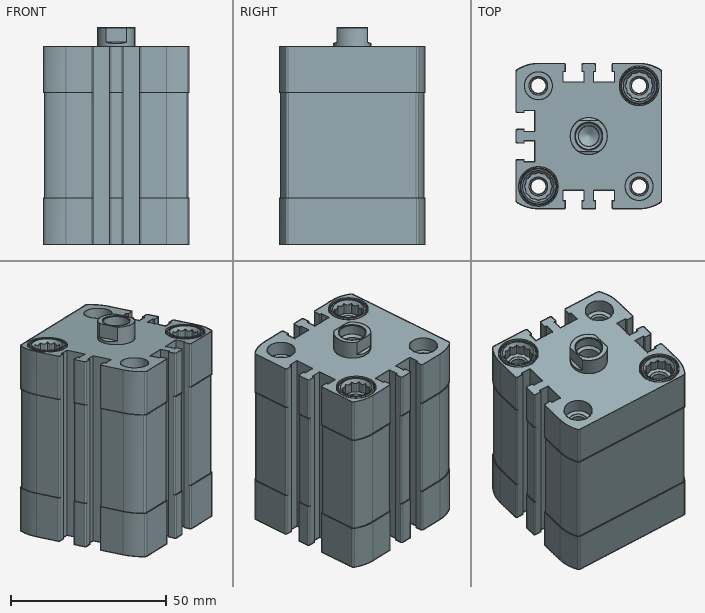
import cadquery as cq
import math


overall_height = 70
rod_projection = 6.0
housing_height = overall_height - rod_projection
housing_width = 47.0
cap_height = 15.0
barrel_inset = 0.3
corner_arc_radius = 13.0
side_flat_half = 16.2
corner_blend_radius = 1.0

rail_half_width = 2.25
slot_mouth_outer = 7.55
slot_undercut = 0.7
slot_lip_depth = 2.65
slot_depth = 6.0
lip_radius = 0.5
slot_side_angles = (0, 180, 270)
selector_margin = 0.1

fixing_pitch = 32.5
fixing_bore = 4.9
fixing_countersink = 6.0
countersink_depth = (fixing_countersink - fixing_bore) / 2
fixing_counterbore = 9.0
fixing_floor_depth = 4.7

screw_groove_outer = 12.8
screw_groove_inner = 12.0
screw_groove_depth = 0.85
screw_rim_chamfer = 0.35
screw_funnel = 10.2
screw_funnel_depth = 1.4
socket_diameter = 8.5
socket_point_radius = 4.55
socket_points = 12
socket_land_width = 0.8

rod_diameter = 12.0
rod_depth = 21
flat_half_spacing = 5.0
flat_length = 4.7
flat_shoulder_angle = 25
rod_countersink = 9.0
rod_counterbore = 8.55
rod_counterbore_depth = 3.5
rod_tap_bore = 6.65
rod_tap_start_depth = 4.2
rod_tap_depth = 14
drill_tip_angle = 118


def revolved(profile):
    """Solid of revolution about Z from (radius, z) points."""
    return cq.Workplane("XZ").polyline(profile).close().revolve(360, (0, 0, 0), (0, 1, 0))


def outline(half_width):
    """Square outline whose corners are shallow arcs tangent to the +Y and -Y sides."""
    run = half_width - side_flat_half

    def drop(distance):
        """Fall of the corner arc at a distance past the end of the flat."""
        return corner_arc_radius - math.sqrt(corner_arc_radius**2 - distance**2)

    corner_y = half_width - drop(run)
    middle_x = side_flat_half + run / 2
    middle_y = half_width - drop(run / 2)
    return (
        cq.Workplane("XY")
        .moveTo(-side_flat_half, half_width)
        .lineTo(side_flat_half, half_width)
        .threePointArc((middle_x, middle_y), (half_width, corner_y))
        .lineTo(half_width, -corner_y)
        .threePointArc((middle_x, -middle_y), (side_flat_half, -half_width))
        .lineTo(-side_flat_half, -half_width)
        .threePointArc((-middle_x, -middle_y), (-half_width, -corner_y))
        .lineTo(-half_width, corner_y)
        .threePointArc((-middle_x, middle_y), (-side_flat_half, half_width))
        .close()
    )


def slot_pair(height):
    """Cutter for the two T-slots of the -Y side."""
    mouth_y = -housing_width / 2
    lip_y = mouth_y + slot_lip_depth
    floor_y = mouth_y + slot_depth
    slot = (
        cq.Workplane("XY")
        .polyline([
            (rail_half_width, mouth_y),
            (slot_mouth_outer, mouth_y),
            (slot_mouth_outer, lip_y),
            (slot_mouth_outer + slot_undercut, lip_y),
            (slot_mouth_outer + slot_undercut, floor_y),
            (rail_half_width - slot_undercut, floor_y),
            (rail_half_width - slot_undercut, lip_y),
            (rail_half_width, lip_y),
        ])
        .close()
        .extrude(height)
    )
    return slot.union(slot.mirror("YZ"))


def on_minus_y_face(reach, half_width, height):
    """Selector for edges lying on the -Y face within `reach` of its middle."""
    margin = selector_margin
    return cq.selectors.BoxSelector(
        (-reach - margin, -half_width - margin, -margin),
        (reach + margin, -half_width + margin, height + margin),
    )


def section(half_width, bottom, height):
    """One length of the slotted housing, with blended corners and rounded slot lips."""
    block = outline(half_width).extrude(height)
    block = block.edges("|Z").edges("<X or >X").fillet(corner_blend_radius)
    axis_start = (0, 0, 0)
    axis_end = (0, 0, 1)
    for angle in slot_side_angles:
        block = block.rotate(axis_start, axis_end, -angle).cut(slot_pair(height))
        lip_edges = on_minus_y_face(slot_mouth_outer, half_width, height)
        block = block.edges("|Z").edges(lip_edges).fillet(lip_radius)
        block = block.rotate(axis_start, axis_end, angle)
    return block.translate((0, 0, bottom))


def cylinder(diameter, bottom, height):
    """Cylinder about Z."""
    return cq.Workplane("XY").workplane(offset=bottom).circle(diameter / 2).extrude(height)


def fixing_hole():
    """Countersunk through hole below the counterbore floor."""
    floor = housing_height - fixing_floor_depth
    return revolved([
        (0, 0),
        (fixing_bore / 2, 0),
        (fixing_bore / 2, floor - countersink_depth),
        (fixing_countersink / 2, floor),
        (0, floor),
    ])


def plain_recess():
    """Counterbore of a corner hole that carries no screw."""
    return cylinder(fixing_counterbore, housing_height - fixing_floor_depth, fixing_floor_depth)


def socket_outline():
    """Corners of the twelve-point socket: a sharp outer point, then a flat land on the inner circle."""
    pitch_angle = 2 * math.pi / socket_points
    land_half_angle = math.asin(socket_land_width / socket_diameter)
    land_radius = socket_diameter / 2
    corners = []
    for index in range(socket_points):
        point_angle = index * pitch_angle
        land_angle = point_angle + pitch_angle / 2
        corners.append((socket_point_radius, point_angle))
        corners.append((land_radius, land_angle - land_half_angle))
        corners.append((land_radius, land_angle + land_half_angle))
    return [(radius * math.cos(angle), radius * math.sin(angle)) for radius, angle in corners]


def screw_recess():
    """Groove around a screw head, its funnel mouth and its twelve-point socket."""
    top = housing_height
    groove = revolved([
        (screw_groove_outer / 2, top),
        (screw_groove_outer / 2, top - screw_groove_depth),
        (screw_groove_inner / 2, top - screw_groove_depth),
        (screw_groove_inner / 2, top - screw_rim_chamfer),
        (screw_groove_inner / 2 - screw_rim_chamfer, top),
    ])
    socket = (
        cq.Workplane("XY")
        .workplane(offset=top - fixing_floor_depth)
        .polyline(socket_outline())
        .close()
        .extrude(fixing_floor_depth)
    )
    funnel_floor = top - screw_funnel_depth
    below_funnel_wall = revolved([
        (0, top - fixing_floor_depth),
        (screw_funnel / 2, top - fixing_floor_depth),
        (screw_funnel / 2, top),
        (socket_diameter / 2, funnel_floor),
        (0, funnel_floor),
    ])
    funnel = revolved([
        (0, top),
        (screw_funnel / 2, top),
        (socket_diameter / 2, funnel_floor),
        (0, funnel_floor),
    ])
    return groove.union(funnel).union(socket.intersect(below_funnel_wall))


def make_housing():
    """Two end caps and the slightly narrower barrel, with corner holes and the rod bore."""
    half = housing_width / 2
    barrel_height = housing_height - 2 * cap_height
    housing = section(half, 0, cap_height)
    housing = housing.union(section(half - barrel_inset, cap_height, barrel_height))
    housing = housing.union(section(half, housing_height - cap_height, cap_height))
    offset = fixing_pitch / 2
    for x_side in (-1, 1):
        for y_side in (-1, 1):
            place = (x_side * offset, y_side * offset, 0)
            recess = screw_recess() if x_side == y_side else plain_recess()
            housing = housing.cut(fixing_hole().translate(place))
            housing = housing.cut(recess.translate(place))
    rod_bore = cylinder(rod_diameter, housing_height - rod_depth, rod_depth)
    return housing.cut(rod_bore)


def make_rod():
    """Piston rod with a stepped blind hole and two wrench flats that end in sloping shoulders."""
    top = overall_height
    rod = cylinder(rod_diameter, housing_height - rod_depth, rod_depth + rod_projection)
    tip_depth = rod_tap_bore / 2 / math.tan(math.radians(drill_tip_angle / 2))
    rod = rod.cut(revolved([
        (0, top),
        (rod_countersink / 2, top),
        (rod_counterbore / 2, top - (rod_countersink - rod_counterbore) / 2),
        (rod_counterbore / 2, top - rod_counterbore_depth),
        (rod_tap_bore / 2, top - rod_tap_start_depth),
        (rod_tap_bore / 2, top - rod_tap_depth),
        (0, top - rod_tap_depth - tip_depth),
    ]))
    shoulder_width = rod_diameter / 2 - flat_half_spacing
    shoulder_drop = shoulder_width * math.tan(math.radians(flat_shoulder_angle))
    shoulder = top - flat_length
    flat = (
        cq.Workplane("YZ")
        .polyline([
            (flat_half_spacing, top),
            (flat_half_spacing, shoulder),
            (rod_diameter / 2, shoulder - shoulder_drop),
            (rod_diameter / 2, top),
        ])
        .close()
        .extrude(rod_diameter / 2, both=True)
    )
    return rod.cut(flat).cut(flat.mirror("XZ"))


housing = make_housing()
rod = make_rod()
result = cq.Compound.makeCompound([housing.val(), rod.val()])